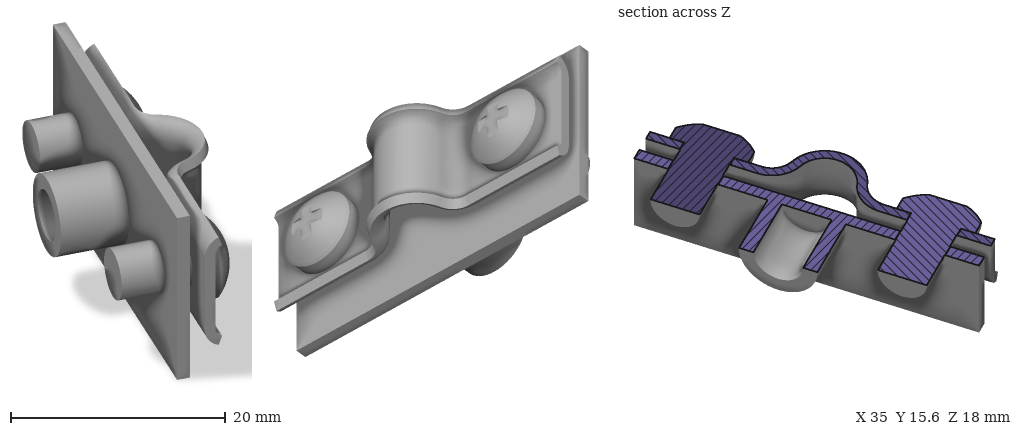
import cadquery as cq
import math


PLATE_LENGTH = 35.0
PLATE_HEIGHT = 18.0
PLATE_THICKNESS = 1.25
BOSS_DIAMETER = 7.98
BOSS_LENGTH = 6.72
BOSS_BORE_DIAMETER = 5.0

SCREW_X = 11.5
SHANK_DIAMETER = 5.0
SHANK_TIP_Y = -5.5
HEAD_DIAMETER = 8.0
HEAD_HEIGHT = 3.2
HEAD_RIM_HEIGHT = 1.45
HEAD_RIM_CHAMFER = 0.2
SLOT_WIDTH = 1.35
SLOT_DEPTH = 0.35

CLAMP_GAP = 1.5
CLAMP_HEIGHT = 11.97
CLAMP_THICKNESS = 1.0
CURL_INNER_RADIUS = 1.0
CURL_ANGLE = math.radians(70)
BUMP_INNER_RADIUS = 3.0
BUMP_RISE = 4.5
FOOT_X = 6.2

CLAMP_BACK_Y = CLAMP_GAP + CLAMP_THICKNESS
SCREW_XS = (-SCREW_X, SCREW_X)


def cylinder(diameter, x, y_start, y_end):
    """Cylinder along Y between two Y positions, at height Z = 0."""
    base = cq.Workplane("XZ", origin=(x, y_start, 0)).circle(diameter / 2)
    return base.extrude(y_start - y_end)


def make_plate():
    plate = cq.Workplane("XY").box(PLATE_LENGTH, PLATE_THICKNESS, PLATE_HEIGHT)
    plate = plate.translate((0, -PLATE_THICKNESS / 2, 0))
    boss_end = -PLATE_THICKNESS - BOSS_LENGTH
    plate = plate.union(cylinder(BOSS_DIAMETER, 0, -PLATE_THICKNESS, boss_end))
    plate = plate.cut(cylinder(BOSS_BORE_DIAMETER, 0, -PLATE_THICKNESS, boss_end))
    for x in SCREW_XS:
        plate = plate.cut(cylinder(SHANK_DIAMETER, x, 0, -PLATE_THICKNESS))
    return plate


def clamp_section():
    """Closed strap section at the left end of the clamp."""
    outer_radius = CURL_INNER_RADIUS + CLAMP_THICKNESS
    curl_y = CLAMP_GAP + outer_radius
    curl_z = CLAMP_HEIGHT / 2 - outer_radius * math.sin(CURL_ANGLE)

    def curl_point(radius, angle, side):
        y = curl_y - radius * math.cos(angle)
        z = curl_z + radius * math.sin(angle)
        return (y, side * z)

    def outer(angle, side):
        return curl_point(outer_radius, angle, side)

    def inner(angle, side):
        return curl_point(CURL_INNER_RADIUS, angle, side)

    half_angle = CURL_ANGLE / 2
    return (
        cq.Workplane("YZ", origin=(-PLATE_LENGTH / 2, 0, 0))
        .moveTo(*outer(0, -1))
        .lineTo(*outer(0, 1))
        .threePointArc(outer(half_angle, 1), outer(CURL_ANGLE, 1))
        .lineTo(*inner(CURL_ANGLE, 1))
        .threePointArc(inner(half_angle, 1), inner(0, 1))
        .lineTo(*inner(0, -1))
        .threePointArc(inner(half_angle, -1), inner(CURL_ANGLE, -1))
        .lineTo(*outer(CURL_ANGLE, -1))
        .threePointArc(outer(half_angle, -1), outer(0, -1))
        .close()
    )


def clamp_path():
    """Front face line of the strap: flat, foot arc, bump arc, foot arc, flat."""
    bump_height = BUMP_RISE - BUMP_INNER_RADIUS
    foot_radius = (FOOT_X**2 + bump_height**2 - BUMP_INNER_RADIUS**2) / (2 * BUMP_RISE)
    foot_y = CLAMP_GAP + foot_radius
    bump_y = CLAMP_GAP + bump_height
    joint_angle = math.atan2(foot_radius - bump_height, FOOT_X)
    joint_x = BUMP_INNER_RADIUS * math.cos(joint_angle)
    joint_y = bump_y + BUMP_INNER_RADIUS * math.sin(joint_angle)
    mid_angle = (math.pi / 2 + joint_angle) / 2
    mid_x = FOOT_X - foot_radius * math.cos(mid_angle)
    mid_y = foot_y - foot_radius * math.sin(mid_angle)
    return (
        cq.Workplane("XY")
        .moveTo(-PLATE_LENGTH / 2, CLAMP_GAP)
        .lineTo(-FOOT_X, CLAMP_GAP)
        .threePointArc((-mid_x, mid_y), (-joint_x, joint_y))
        .threePointArc((0, CLAMP_GAP + BUMP_RISE), (joint_x, joint_y))
        .threePointArc((mid_x, mid_y), (FOOT_X, CLAMP_GAP))
        .lineTo(PLATE_LENGTH / 2, CLAMP_GAP)
    )


def make_clamp():
    clamp = clamp_section().sweep(clamp_path())
    for x in SCREW_XS:
        clamp = clamp.cut(cylinder(SHANK_DIAMETER, x, CLAMP_BACK_Y, CLAMP_GAP))
    return clamp


def make_screw(x):
    """Screw with a domed, cross-slotted head seated on the clamp."""
    head_radius = HEAD_DIAMETER / 2
    rim_y = CLAMP_BACK_Y + HEAD_RIM_HEIGHT
    dome_base_y = rim_y + HEAD_RIM_CHAMFER
    dome_base_radius = head_radius - HEAD_RIM_CHAMFER
    dome_top_y = CLAMP_BACK_Y + HEAD_HEIGHT
    dome_height = dome_top_y - dome_base_y
    dome_radius = (dome_base_radius**2 + dome_height**2) / (2 * dome_height)
    mid_angle = math.asin(dome_base_radius / dome_radius) / 2
    dome_mid = (
        dome_radius * math.sin(mid_angle),
        dome_top_y - dome_radius * (1 - math.cos(mid_angle)),
    )
    screw = (
        cq.Workplane("XY")
        .moveTo(0, SHANK_TIP_Y)
        .lineTo(SHANK_DIAMETER / 2, SHANK_TIP_Y)
        .lineTo(SHANK_DIAMETER / 2, CLAMP_BACK_Y)
        .lineTo(head_radius, CLAMP_BACK_Y)
        .lineTo(head_radius, rim_y)
        .lineTo(dome_base_radius, dome_base_y)
        .threePointArc(dome_mid, (0, dome_top_y))
        .close()
        .revolve(360, (0, 0, 0), (0, 1, 0))
    )
    slot = cq.Workplane("XY").box(HEAD_DIAMETER, 2 * SLOT_DEPTH, SLOT_WIDTH)
    slot = slot.translate((0, dome_top_y, 0))
    for angle in (0, 90):
        screw = screw.cut(slot.rotate((0, 0, 0), (0, 1, 0), angle))
    return screw.translate((x, 0, 0))


plate = make_plate()
clamp = make_clamp()
screws = [make_screw(x) for x in SCREW_XS]

result = cq.Compound.makeCompound([plate.val(), clamp.val(), *[screw.val() for screw in screws]])